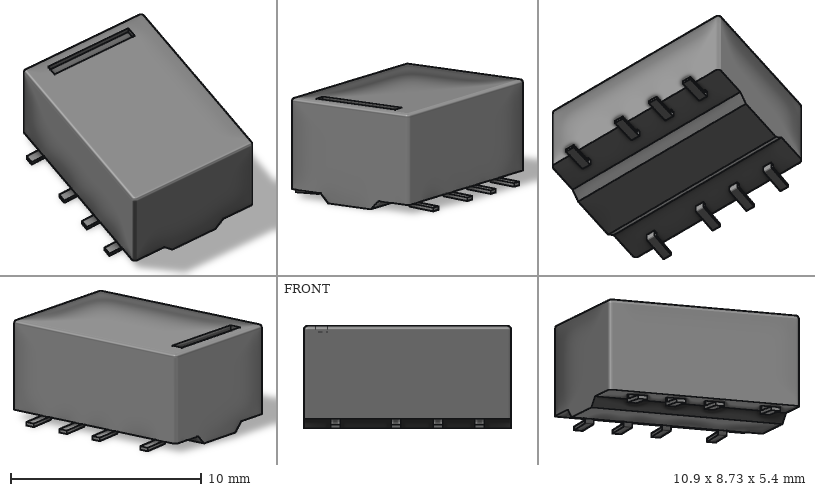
import cadquery as cq
import math

LENGTH = 10.9
WIDTH = 7.5
HEIGHT = 5.4
EDGE_RADIUS = 0.21

KEEL_HEIGHT = 0.5
KEEL_BOTTOM_WIDTH = 2.68
KEEL_TOP_WIDTH = KEEL_BOTTOM_WIDTH + 2 * KEEL_HEIGHT

SLOT_LENGTH = 5.0
SLOT_WIDTH = 0.63
SLOT_DEPTH = 0.3
SLOT_END_GAP = 0.59

LEAD_SPAN = 8.73
LEAD_WIDTH = 0.5
LEAD_THICKNESS = 0.2
LEG_OUTER_Y = 3.04
FOOT_ANGLE = 3.0
HEEL_RADIUS = 0.1
INNER_BEND_RADIUS = 0.04
LEAD_PITCH = 2.2
FIRST_LEAD_X = -3.79
LAST_LEAD_X = 3.79
LEAD_POSITIONS = [FIRST_LEAD_X, LAST_LEAD_X - 2 * LEAD_PITCH, LAST_LEAD_X - LEAD_PITCH, LAST_LEAD_X]


def make_housing():
    """Rounded box with a full-length keel below and a marking slot on top."""
    box = (
        cq.Workplane("XY")
        .workplane(offset=KEEL_HEIGHT)
        .rect(LENGTH, WIDTH)
        .extrude(HEIGHT - KEEL_HEIGHT)
        .edges("|Z or >Z")
        .fillet(EDGE_RADIUS)
    )
    keel = (
        cq.Workplane("YZ")
        .polyline([
            (-KEEL_BOTTOM_WIDTH / 2, 0),
            (KEEL_BOTTOM_WIDTH / 2, 0),
            (KEEL_TOP_WIDTH / 2, KEEL_HEIGHT),
            (-KEEL_TOP_WIDTH / 2, KEEL_HEIGHT),
        ])
        .close()
        .extrude(LENGTH / 2, both=True)
    )
    slot_x = -LENGTH / 2 + SLOT_END_GAP + SLOT_WIDTH / 2
    slot = (
        cq.Workplane("XY")
        .workplane(offset=HEIGHT - SLOT_DEPTH)
        .center(slot_x, 0)
        .rect(SLOT_WIDTH, SLOT_LENGTH)
        .extrude(SLOT_DEPTH)
    )
    return box.union(keel).cut(slot).solids()


def make_lead(x, side):
    """Bent lead at position x, on the +Y (side = 1) or -Y (side = -1) side."""
    tip_y = LEAD_SPAN / 2
    leg_inner_y = LEG_OUTER_Y - LEAD_THICKNESS
    slope = math.tan(math.radians(FOOT_ANGLE))
    heel_z = (tip_y - leg_inner_y) * slope
    inner_bend_z = LEAD_THICKNESS + (tip_y - LEG_OUTER_Y) * slope
    profile = [
        (leg_inner_y, KEEL_HEIGHT),
        (leg_inner_y, heel_z),
        (tip_y, 0),
        (tip_y, LEAD_THICKNESS),
        (LEG_OUTER_Y, inner_bend_z),
        (LEG_OUTER_Y, KEEL_HEIGHT),
    ]
    heel = cq.selectors.NearestToPointSelector((0, side * leg_inner_y, heel_z))
    inner_bend = cq.selectors.NearestToPointSelector((0, side * LEG_OUTER_Y, inner_bend_z))
    return (
        cq.Workplane("YZ")
        .polyline([(side * y, z) for y, z in profile])
        .close()
        .extrude(LEAD_WIDTH / 2, both=True)
        .edges("|X")
        .edges(heel)
        .fillet(HEEL_RADIUS)
        .edges("|X")
        .edges(inner_bend)
        .fillet(INNER_BEND_RADIUS)
        .translate((x, 0, 0))
        .solids()
    )


housing = make_housing()
leads = [make_lead(x, side) for side in (-1, 1) for x in LEAD_POSITIONS]

result = cq.Compound.makeCompound([housing.val(), *[lead.val() for lead in leads]])